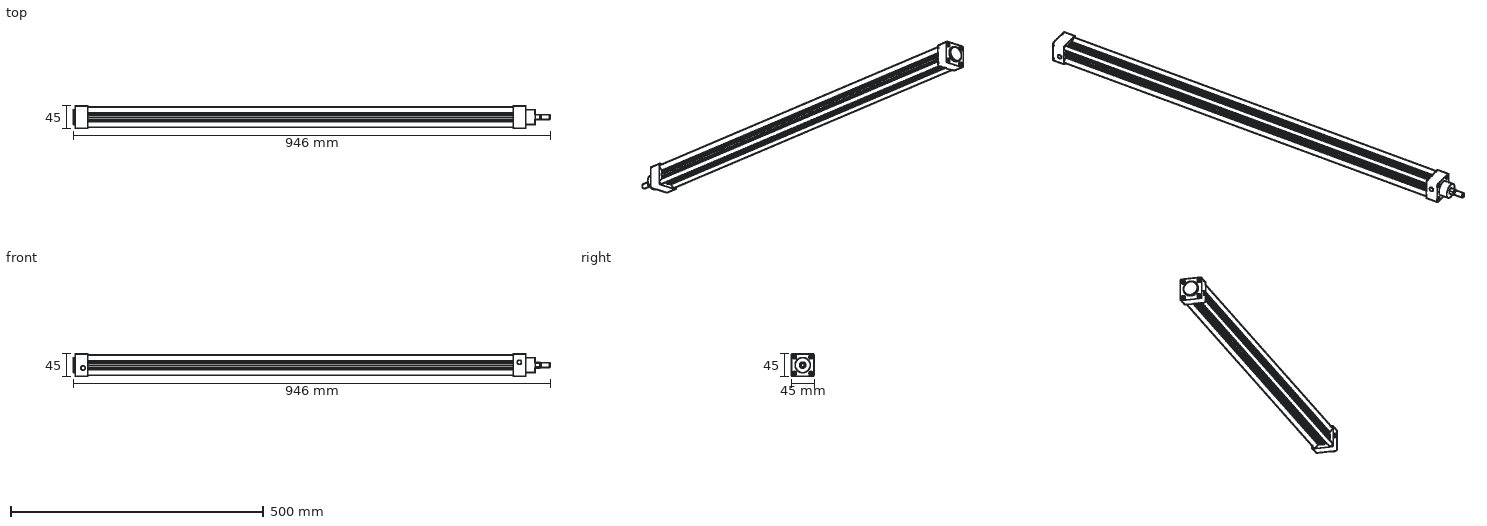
import cadquery as cq
import math

body_length = 894.0
cap_size = 45.0
cap_length = 25.0
cap_edge_radius = 3.5

spigot_diameter = 30.0
spigot_length = 4.0
spigot_chamfer = 1.0
collar_length = 18.0

mount_spacing = 32.5
mount_diameter = 4.5
mount_depth = 16.0
mount_recess_diameter = 7.5
mount_recess_depth = 2.0

port_diameter = 8.6
port_depth = 8.0
rear_port_from_face = 15.6
front_port_from_face = 13.2
port_offset = 5.7

lobe_radius = 4.25
slot_width = 3.2
slot_floor_distance = 11.5
slot_lip_distance = 15.0
ridge_half_width = 3.8
ridge_edge_distance = 15.5
ridge_peak_distance = 16.5

rod_diameter = 12.0
rod_flat_width = 10.0
rod_shoulder = 9.0
relief_diameter = 8.5
relief_length = 3.0
thread_diameter = 10.0
rod_tip_length = 21.0
thread_chamfer = 1.5

front_face = body_length
front_cap_start = front_face - cap_length
collar_end = front_face + collar_length
shoulder_end = collar_end + rod_shoulder
thread_start = shoulder_end + relief_length
rod_end = shoulder_end + rod_tip_length
lobe_offset = mount_spacing / 2


def cylinder_along_x(diameter, start, length):
    return cq.Workplane("YZ", origin=(start, 0, 0)).circle(diameter / 2).extrude(length)


def corner_holes(diameter, start, length):
    """Four cylinders on the square mounting pattern."""
    return (
        cq.Workplane("YZ", origin=(start, 0, 0))
        .rect(mount_spacing, mount_spacing, forConstruction=True)
        .vertices()
        .circle(diameter / 2)
        .extrude(length)
    )


def cap_block(start):
    """Square block with its four long edges rounded."""
    return (
        cq.Workplane("YZ", origin=(start, 0, 0))
        .rect(cap_size, cap_size)
        .extrude(cap_length)
        .edges("|X")
        .fillet(cap_edge_radius)
    )


def port(x, z):
    """Blind port drilled toward +Y from the -Y side of a cap."""
    return (
        cq.Workplane("XZ", origin=(x, -cap_size / 2, z))
        .circle(port_diameter / 2)
        .extrude(-port_depth)
    )


def make_rear_cap():
    spigot = cylinder_along_x(spigot_diameter, -spigot_length, spigot_length)
    spigot = spigot.faces("<X").chamfer(spigot_chamfer)
    return (
        cap_block(0)
        .union(spigot)
        .cut(corner_holes(mount_recess_diameter, 0, mount_recess_depth))
        .cut(corner_holes(mount_diameter, 0, mount_depth))
        .cut(port(rear_port_from_face, -port_offset))
    )


def make_front_cap():
    collar = cylinder_along_x(spigot_diameter, front_face, collar_length)
    return (
        cap_block(front_cap_start)
        .union(collar)
        .cut(corner_holes(mount_recess_diameter, front_face, -mount_recess_depth))
        .cut(corner_holes(mount_diameter, front_face, -mount_depth))
        .cut(port(front_face - front_port_from_face, port_offset))
        .cut(cylinder_along_x(rod_diameter, front_cap_start, collar_end - front_cap_start))
    )


def turned(point, quarter_turns):
    """Point turned about the X axis by a number of quarter turns."""
    y, z = point
    for _ in range(quarter_turns):
        y, z = -z, y
    return (y, z)


def make_profile():
    """Extrusion between the caps; the lobes run down to the slot lips along 45 degree walls."""
    tangent = lobe_radius * math.sqrt(0.5)
    wall_outer = (lobe_offset + tangent, lobe_offset - tangent)
    wall_foot = wall_outer[1] - (wall_outer[0] - slot_lip_distance)
    slot_edge = ridge_half_width + slot_width
    half_side = [
        (ridge_edge_distance, ridge_half_width),
        (slot_floor_distance, ridge_half_width),
        (slot_floor_distance, slot_edge),
        (slot_lip_distance, slot_edge),
        (slot_lip_distance, wall_foot),
        wall_outer,
    ]
    side = [(y, -z) for y, z in reversed(half_side)] + [(ridge_peak_distance, 0)] + half_side
    lobe_tip = lobe_offset + tangent
    lobe_inner_end = (wall_outer[1], wall_outer[0])

    outline = cq.Workplane("YZ", origin=(cap_length, 0, 0)).moveTo(*side[0])
    for quarter in range(4):
        for point in side[1:]:
            outline = outline.lineTo(*turned(point, quarter))
        outline = outline.threePointArc(
            turned((lobe_tip, lobe_tip), quarter), turned(lobe_inner_end, quarter)
        )
    return outline.close().extrude(front_cap_start - cap_length)


def make_rod():
    """Rod through the front cap, with two wrench flats, a thread relief and a thread end."""
    shank = cylinder_along_x(rod_diameter, front_cap_start, shoulder_end - front_cap_start)
    flat_zone = cylinder_along_x(rod_diameter, collar_end, rod_shoulder)
    flat_core = cq.Workplane("XY").box(rod_shoulder, rod_flat_width, rod_diameter)
    flat_core = flat_core.translate((collar_end + rod_shoulder / 2, 0, 0))
    flat_waste = flat_zone.cut(flat_core)
    relief = cylinder_along_x(relief_diameter, shoulder_end, relief_length)
    thread = cylinder_along_x(thread_diameter, thread_start, rod_end - thread_start)
    thread = thread.faces(">X").chamfer(thread_chamfer)
    return shank.cut(flat_waste).union(relief).union(thread)


rear_cap = make_rear_cap()
profile = make_profile()
front_cap = make_front_cap()
rod = make_rod()

result = cq.Compound.makeCompound([rear_cap.val(), profile.val(), front_cap.val(), rod.val()])